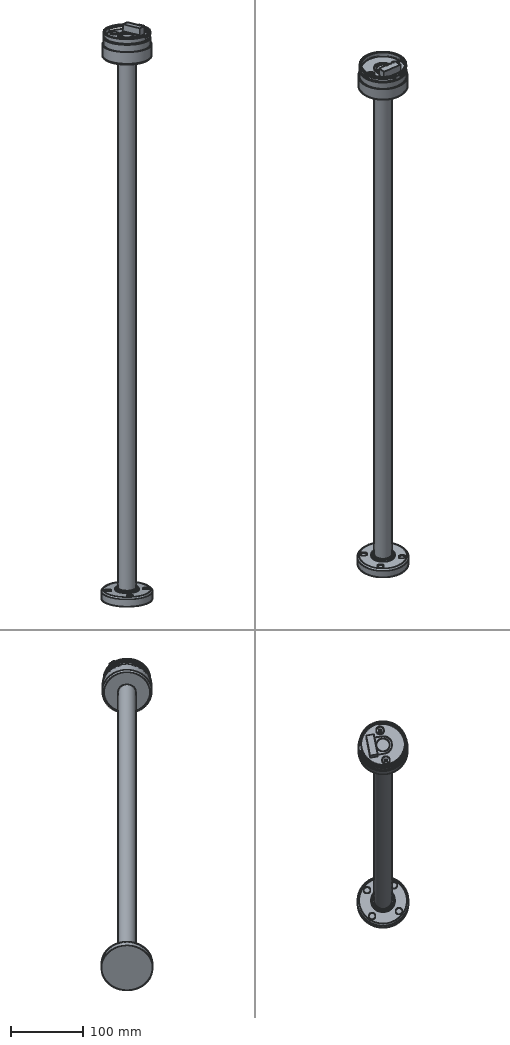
import cadquery as cq

total_height = 833.5

base_radius = 35.4
base_height = 13.0
base_chamfer = 2.5
collar_radius = 17.0
collar_height = 2.5
collar_chamfer = 2.0
mount_recess_diameter = 9.0
mount_recess_depth = 2.0
mount_circle_radius = 27.0
mount_count = 4
mount_start_angle = 45

pole_radius = 12.5
pole_bottom = base_height + collar_height

head_bottom = 791.0
head_radius = 34.0
head_chamfer = 2.5
shoulder_level = 810.0
upper_radius = 32.5
floor_level = 822.0
groove_width = 2.0
groove_depth = 1.0
groove_top = floor_level
rim_top = 828.5
rim_inner_radius = 30.0
hoop_thickness = 2.5
hoop_bottom = rim_top - hoop_thickness

post_width = 8.0
post_outer_reach = head_radius
post_inner_reach = rim_inner_radius

block_width = 29.0
block_front = 10.0
block_depth = 11.0
pad_radius = 12.5
pad_height = 2.0
pad_recess_radius = 9.0

screw_offset = 22.0
screw_hole_diameter = 4.0
screw_hole_depth = 10.0
counterbore_diameter = 11.0
counterbore_depth = 2.5


def disc(radius, bottom, top):
    """Solid cylinder on the Z axis between two levels."""
    return cq.Workplane("XY").workplane(offset=bottom).circle(radius).extrude(top - bottom)


def box_between(x_size, y_min, y_max, bottom, top):
    """Box centred on X between the given Y and Z limits."""
    block = cq.Workplane("XY").box(x_size, y_max - y_min, top - bottom, centered=(True, False, False))
    return block.translate((0, y_min, bottom))


def make_base():
    """Chamfered round flange with a collar and shallow mounting recesses on the diagonals."""
    flange = disc(base_radius, 0, base_height).faces(">Z").edges().chamfer(base_chamfer)
    collar = disc(collar_radius, 0, base_height + collar_height).faces(">Z").edges().chamfer(collar_chamfer)
    base = flange.union(collar)
    recesses = (
        cq.Workplane("XY")
        .workplane(offset=base_height - mount_recess_depth)
        .polarArray(mount_circle_radius, mount_start_angle, 360, mount_count)
        .circle(mount_recess_diameter / 2)
        .extrude(mount_recess_depth)
    )
    return base.cut(recesses)


def make_pole():
    """Plain round pole between the base collar and the head."""
    return disc(pole_radius, pole_bottom, head_bottom)


def make_rim():
    """Full-height wall over the front half, thin raised hoop over the back half."""
    ring = disc(upper_radius, floor_level, rim_top).cut(disc(rim_inner_radius, floor_level, rim_top))
    hoop_gap = box_between(2 * head_radius, 0, head_radius, floor_level, hoop_bottom)
    post = box_between(post_width, post_inner_reach, post_outer_reach, floor_level, rim_top)
    return ring.cut(hoop_gap).union(post)


def make_floor_pad():
    """Low pad with a round front end and a round recess, running back to the block."""
    pad_top = floor_level + pad_height
    pad = disc(pad_radius, floor_level, pad_top)
    pad = pad.union(box_between(2 * pad_radius, 0, block_front, floor_level, pad_top))
    return pad.cut(disc(pad_recess_radius, floor_level, pad_top))


def make_head():
    """Stepped round head with its rim, groove, block, pad and screw holes."""
    lower = disc(head_radius, head_bottom, shoulder_level).faces("<Z").edges().chamfer(head_chamfer)
    head = lower.union(disc(upper_radius, shoulder_level, floor_level))
    groove = disc(upper_radius, groove_top - groove_width, groove_top)
    groove = groove.cut(disc(upper_radius - groove_depth, groove_top - groove_width, groove_top))
    for side in (-1, 1):
        x = side * screw_offset
        counterbore = disc(counterbore_diameter / 2, floor_level - counterbore_depth, floor_level)
        hole = disc(screw_hole_diameter / 2, floor_level - screw_hole_depth, floor_level)
        head = head.cut(counterbore.union(hole).translate((x, 0, 0)))
    block = box_between(block_width, block_front, block_front + block_depth, floor_level, total_height)
    return head.union(make_rim()).union(make_floor_pad()).union(block).cut(groove)


base = make_base()
pole = make_pole()
head = make_head()

result = cq.Compound.makeCompound([base.val(), pole.val(), head.val()])